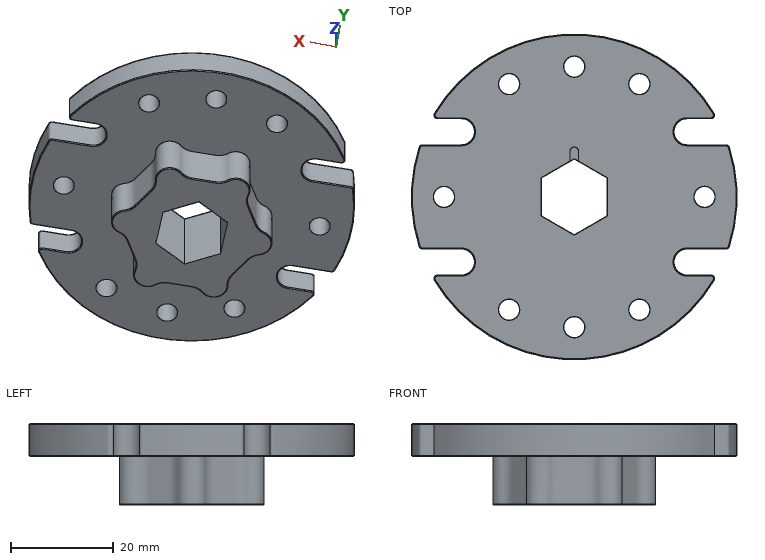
import cadquery as cq
import math

plate_diameter = 63.5
plate_thickness = 6.35
edge_chamfer = 0.2

bolt_circle_radius = 25.4
station_count = 12
slot_stations = (1, 5, 7, 11)
hole_diameter = 4.05
slot_width = 5.1
slot_corner_radius = 0.7

hub_height = 9.5
lobe_count = 6
hub_tip_radius = 15.9
lobe_radius = 2.8
root_apothem = 12.5
root_fillet_radius = 3.4
hub_chamfer = 0.2

hex_sides = 6
hex_across_flats = 12.8
mark_width = 1.65
mark_reach = 9.7
mark_depth = 0.8


def polar(radius, angle):
    return (radius * math.cos(angle), radius * math.sin(angle))


def station_points(stations):
    return [polar(bolt_circle_radius, 2 * math.pi * i / station_count) for i in stations]


def make_slots():
    run = plate_diameter / 2
    slots = cq.Workplane("XY")
    for x, y in station_points(slot_stations):
        outward = math.copysign(1, x)
        station = cq.Workplane("XY").center(x, y)
        channel = station.center(outward * run / 2, 0).rect(run, slot_width).extrude(plate_thickness)
        slots = slots.add(station.circle(slot_width / 2).extrude(plate_thickness).union(channel))
    return slots.combine()


def make_plate():
    plate_radius = plate_diameter / 2
    plate = cq.Workplane("XY").circle(plate_radius).extrude(plate_thickness).cut(make_slots())
    for side in (-1, 1):
        mouth_zone = cq.selectors.BoxSelector(
            (side * bolt_circle_radius, -plate_radius, 0),
            (side * (plate_radius - slot_corner_radius), plate_radius, plate_thickness),
        )
        plate = plate.edges("|Z").edges(mouth_zone).fillet(slot_corner_radius)
    return plate.faces("<Z or >Z").edges().chamfer(edge_chamfer)


def make_hub():
    half_pitch = math.pi / lobe_count
    lobe_center = hub_tip_radius - lobe_radius
    center_height = lobe_center * math.cos(half_pitch)
    center_offset = lobe_center * math.sin(half_pitch)
    fillet_height = root_apothem + root_fillet_radius
    reach = lobe_radius + root_fillet_radius
    flat_half = center_offset - math.sqrt(reach**2 - (fillet_height - center_height) ** 2)
    touch_angle = math.acos((fillet_height - center_height) / reach)

    def fillet_point(sweep, lobe_angle, side):
        """Point on a root fillet, swept from the flat (0) to the lobe (touch_angle)."""
        height = fillet_height - root_fillet_radius * math.cos(sweep)
        offset = flat_half + root_fillet_radius * math.sin(sweep)
        from_lobe = half_pitch - math.atan2(offset, height)
        return polar(math.hypot(height, offset), lobe_angle + side * from_lobe)

    outline = cq.Workplane("XY").moveTo(*fillet_point(0, 0, -1))
    for i in range(lobe_count):
        lobe_angle = 2 * half_pitch * i
        if i > 0:
            outline = outline.lineTo(*fillet_point(0, lobe_angle, -1))
        outline = (
            outline
            .threePointArc(
                fillet_point(touch_angle / 2, lobe_angle, -1),
                fillet_point(touch_angle, lobe_angle, -1),
            )
            .threePointArc(
                polar(hub_tip_radius, lobe_angle),
                fillet_point(touch_angle, lobe_angle, 1),
            )
            .threePointArc(
                fillet_point(touch_angle / 2, lobe_angle, 1),
                fillet_point(0, lobe_angle, 1),
            )
        )
    hub = outline.close().extrude(-hub_height)
    return hub.faces("<Z").edges().chamfer(hub_chamfer)


def make_holes():
    drilled = [i for i in range(station_count) if i not in slot_stations]
    return (
        cq.Workplane("XY")
        .pushPoints(station_points(drilled))
        .circle(hole_diameter / 2)
        .extrude(plate_thickness)
    )


def make_bore():
    across_corners = hex_across_flats / math.cos(math.pi / hex_sides)
    return (
        cq.Workplane("XY", origin=(0, 0, -hub_height))
        .transformed(rotate=(0, 0, 90))
        .polygon(hex_sides, across_corners)
        .extrude(hub_height + plate_thickness)
    )


def make_mark():
    return (
        cq.Workplane("XY", origin=(0, mark_reach / 2, plate_thickness))
        .slot2D(mark_reach, mark_width, 90)
        .extrude(-mark_depth)
    )


result = make_plate().union(make_hub()).cut(make_holes()).cut(make_bore()).cut(make_mark())